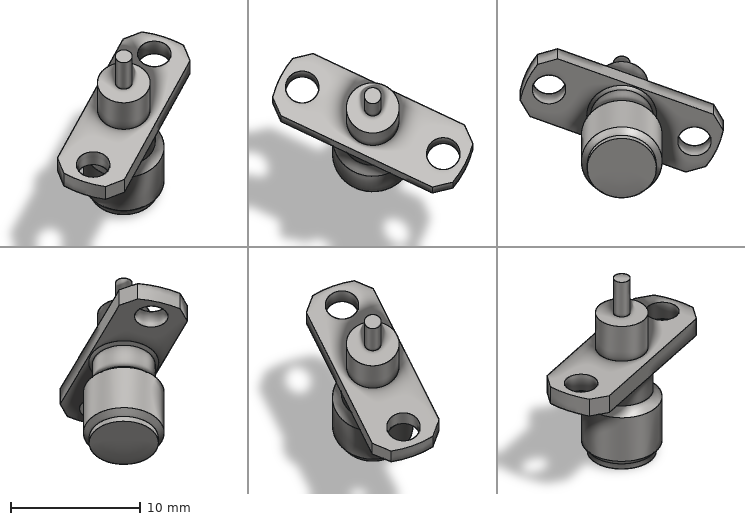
import cadquery as cq
import math

flange_length = 15.96
flange_width = 5.63
flange_bottom = 7.95
flange_top = 9.48
end_half_width = 1.75
side_half_length = 6.55
hole_diameter = 2.59
hole_spacing = 12.2

nose_radius = 2.68
barrel_radius = 3.13
neck_radius = 2.44
collar_radius = 2.71
nose_top = 0.48
barrel_bottom = 0.99
barrel_top = 4.98
neck_bottom = 5.63
neck_top = 7.72

insulator_radius = 2.05
insulator_top = 12.65
pin_radius = 0.65
pin_top = 15.82


def make_flange():
    """Plate with cut corners, ends rounded about the connector axis, and two screw holes."""
    half_length = flange_length / 2
    half_width = flange_width / 2
    end_corner_y = math.sqrt(half_length**2 - end_half_width**2)
    return (
        cq.Workplane("XY")
        .workplane(offset=flange_bottom)
        .moveTo(half_width, -side_half_length)
        .lineTo(half_width, side_half_length)
        .lineTo(end_half_width, end_corner_y)
        .threePointArc((0, half_length), (-end_half_width, end_corner_y))
        .lineTo(-half_width, side_half_length)
        .lineTo(-half_width, -side_half_length)
        .lineTo(-end_half_width, -end_corner_y)
        .threePointArc((0, -half_length), (end_half_width, -end_corner_y))
        .close()
        .extrude(flange_top - flange_bottom)
        .faces(">Z")
        .workplane(origin=(0, 0, flange_top))
        .pushPoints([(0, -hole_spacing / 2), (0, hole_spacing / 2)])
        .hole(hole_diameter)
    )


def make_turned_body():
    """Nose, barrel, neck, insulator and pin revolved as one profile about Z."""
    profile = [
        (0, 0),
        (nose_radius, 0),
        (nose_radius, nose_top),
        (barrel_radius, barrel_bottom),
        (barrel_radius, barrel_top),
        (neck_radius, neck_bottom),
        (neck_radius, neck_top),
        (collar_radius, flange_bottom),
        (insulator_radius, flange_bottom),
        (insulator_radius, insulator_top),
        (pin_radius, insulator_top),
        (pin_radius, pin_top),
        (0, pin_top),
    ]
    return cq.Workplane("XZ").polyline(profile).close().revolve(360, (0, 0, 0), (0, 1, 0))


result = make_flange().union(make_turned_body())